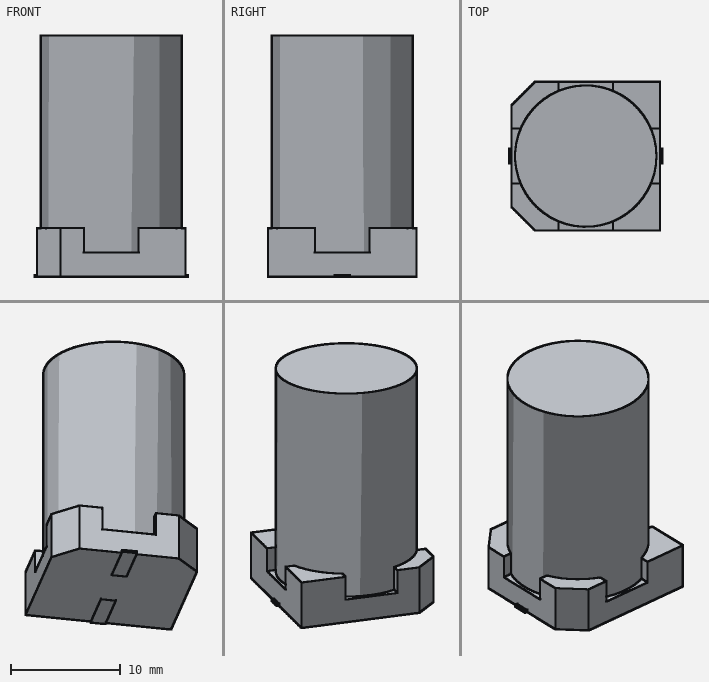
import cadquery as cq

total_height = 22.05
base_width = 13.58
lead_span = 14.0

base_height = 4.45
seat_height = base_height / 2
corner_chamfer = 2.15
notch_width = 5.0

can_diameter = 12.9

lead_width = 1.4
lead_thickness = 0.2
lead_length = 4.63


def make_lead(side):
    """Flat lead along the underside; side is -1 for the -X end and +1 for the +X end."""
    center_x = side * (lead_span - lead_length) / 2
    return (
        cq.Workplane("XY")
        .center(center_x, 0)
        .rect(lead_length, lead_width)
        .extrude(lead_thickness)
    )


def make_can():
    """Plain cylinder standing on the seat of the base."""
    return (
        cq.Workplane("XY")
        .workplane(offset=seat_height)
        .circle(can_diameter / 2)
        .extrude(total_height - seat_height)
    )


def make_notch(length_x, length_y):
    """Slot through the upper part of the base, from the seat to the rim."""
    return (
        cq.Workplane("XY")
        .workplane(offset=seat_height)
        .rect(length_x, length_y)
        .extrude(base_height - seat_height)
    )


def make_base(can, leads):
    """Square base with two chamfered corners, a notch in each side, and seats for can and leads."""
    base = (
        cq.Workplane("XY")
        .rect(base_width, base_width)
        .extrude(base_height)
        .edges("|Z and <X")
        .chamfer(corner_chamfer)
    )
    base = base.cut(make_notch(base_width, notch_width))
    base = base.cut(make_notch(notch_width, base_width))
    base = base.cut(can)
    for lead in leads:
        base = base.cut(lead)
    return base.solids()


can = make_can()
leads = [make_lead(side) for side in (-1, 1)]
base = make_base(can, leads)

result = cq.Compound.makeCompound([base.val(), can.val(), *[lead.val() for lead in leads]])